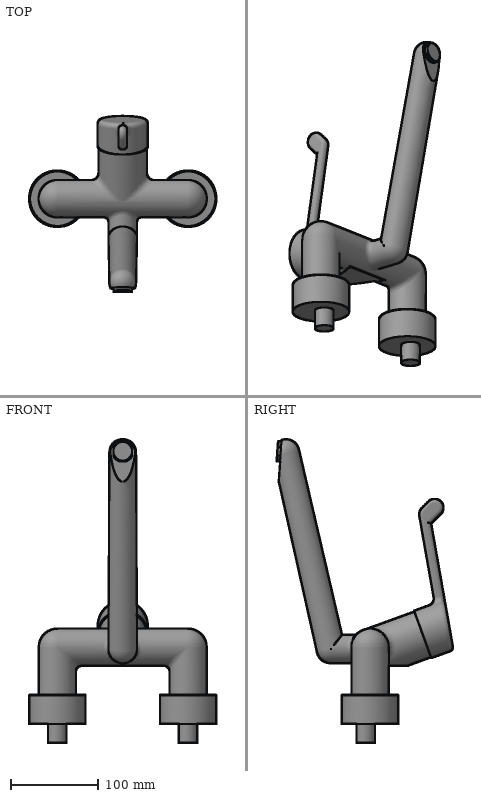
import cadquery as cq
import math


leg_spacing = 150.0
pipe_radius = 21.5
elbow_fillet = 6.0
flange_radius = 32.5
flange_height = 34.0
flange_top_z = -54.0
flange_chamfer = 1.2
inlet_radius = 10.75
inlet_length = 21.7
inlet_offset_y = -5.0

body_tilt = 20.0
body_axis_z = -7.3
body_radius = 28.0
body_fillet = 8.0
body_front_y = -5.0
seam_margin = 1.0
cap_radius = 29.0
cap_start = 64.3
cap_end = 96.6
cap_face_tilt = 10.0
cap_edge_fillet = 5.0

lever_depth = 12.2
lever_width = 10.0
lever_edge_round = 4.9
lever_tip = (0.0, 74.2, 160.1)
lever_tip_radius = 10.2
lever_head_lean = 45.0
lever_root_fillet = 8.0
lever_bend_radius = 10.0

spout_axis_z = -2.0
spout_base_radius = 16.5
spout_tip_radius = 15.5
spout_elbow_y = -45.0
spout_tip_y = -96.4
spout_tip_z = 223.25
spout_fillet = 5.0

outlet_face_y = -102.4
outlet_face_tilt = 4.0
outlet_radius = 11.75
outlet_height = 4.1
outlet_chamfer = 0.8
outlet_flat_width = 21.5
outlet_center_z = 224.5

clearance = 60.0
outlet_embed = 1.0


def cylinder(radius, start, direction, length):
    return cq.Workplane(cq.Solid.makeCylinder(radius, length, cq.Vector(*start), cq.Vector(*direction)))


def ball(radius, center):
    return cq.Workplane("XY").sphere(radius).translate(center)


def half_space(point, normal):
    """Block lying on the side of a plane that its normal points to; the normal has no X part."""
    plane = cq.Plane(origin=point, xDir=(1, 0, 0), normal=normal)
    size = 4 * clearance
    return cq.Workplane(plane).rect(size, size).extrude(size)


def yz_direction(angle):
    """Unit vector in the YZ plane, measured from +Y towards +Z."""
    return (0.0, math.cos(math.radians(angle)), math.sin(math.radians(angle)))


def along(point, direction, distance):
    """Point reached by moving a distance from a point."""
    return tuple(p + d * distance for p, d in zip(point, direction))


def crossing(point_a, direction_a, point_b, direction_b):
    """Point where two lines in the YZ plane meet."""
    gap_y = point_b[1] - point_a[1]
    gap_z = point_b[2] - point_a[2]
    determinant = direction_a[2] * direction_b[1] - direction_a[1] * direction_b[2]
    distance = (gap_z * direction_b[1] - gap_y * direction_b[2]) / determinant
    return along(point_a, direction_a, distance)


body_axis = yz_direction(body_tilt)
body_start = (0.0, 0.0, body_axis_z)
face_normal = yz_direction(cap_face_tilt)
face_center = along(body_start, body_axis, cap_end)
lever_axis = yz_direction(90.0 + cap_face_tilt)
lever_foot = along(face_center, face_normal, -lever_depth / 2)


def make_pipe():
    """Crossbar whose ends turn down into the two legs."""
    half = leg_spacing / 2
    pipe = cylinder(pipe_radius, (-half, 0, 0), (1, 0, 0), leg_spacing)
    for x in (-half, half):
        pipe = pipe.union(cylinder(pipe_radius, (x, 0, 0), (0, 0, -1), -flange_top_z))
    inner_seams = [e for e in pipe.edges().vals() if e.geomType() == "ELLIPSE"]
    pipe = pipe.newObject(inner_seams).fillet(elbow_fillet)
    for x in (-half, half):
        pipe = pipe.union(ball(pipe_radius, (x, 0, 0)))
    return pipe


def blend_seams(part, rear, radius):
    """Fillet the freeform seams near the middle of the crossbar, behind or in front of its axis."""
    y_range = (body_front_y - seam_margin, clearance) if rear else (-clearance, body_front_y)
    middle = cq.selectors.BoxSelector(
        (-body_radius, y_range[0], -clearance), (body_radius, y_range[1], clearance)
    )
    seams = [e for e in part.edges(middle).vals() if e.geomType() == "BSPLINE"]
    return part.newObject(seams).fillet(radius)


def add_body(pipe):
    """Tilted cartridge body blended into the crossbar, its underside level with the pipe."""
    tail = along(body_start, body_axis, -clearance)
    body = cylinder(body_radius, tail, body_axis, cap_start + clearance)
    body = body.cut(half_space((0, body_front_y, 0), (0, -1, 0)))
    blended = blend_seams(pipe.union(body), True, body_fillet)
    underside = cq.Workplane("XY").box(2 * body_radius, 2 * clearance, clearance)
    return blended.cut(underside.translate((0, 0, -pipe_radius - clearance / 2)))


def add_spout_stub(pipe):
    """Forward stub of the spout blended into the crossbar."""
    stub = cylinder(spout_base_radius, (0, 0, spout_axis_z), (0, -1, 0), -spout_elbow_y)
    return blend_seams(pipe.union(stub), False, spout_fillet)


def make_wall_connection(x):
    """Round flange under a leg with an eccentric inlet stub."""
    flange_bottom_z = flange_top_z - flange_height
    flange = cylinder(flange_radius, (x, 0, flange_bottom_z), (0, 0, 1), flange_height)
    flange = flange.faces(">Z").edges().chamfer(flange_chamfer)
    inlet = cylinder(inlet_radius, (x, inlet_offset_y, flange_bottom_z), (0, 0, -1), inlet_length)
    return flange.union(inlet)


def make_cap():
    """Cap on the cartridge body, ended by the sloping face with a rounded rim."""
    start = along(body_start, body_axis, cap_start)
    cap = cylinder(cap_radius, start, body_axis, clearance)
    cap = cap.cut(half_space(face_center, face_normal))
    rim = [e for e in cap.edges().vals() if e.geomType() == "ELLIPSE"]
    return cap.newObject(rim).fillet(cap_edge_fillet)


def make_lever():
    """Lever with a straight shaft and a wider rounded head bent to the rear."""
    front_edge = along(lever_foot, face_normal, -lever_depth / 2)
    rear_edge = along(lever_foot, face_normal, lever_depth / 2)
    head_axis = yz_direction(lever_head_lean)
    head_normal = yz_direction(lever_head_lean + 90.0)
    head_top = along(lever_tip, head_normal, lever_tip_radius)
    head_bottom = along(lever_tip, head_normal, -lever_tip_radius)
    tip_end = along(lever_tip, head_axis, lever_tip_radius)
    rear_bend = crossing(rear_edge, lever_axis, head_bottom, head_axis)
    front_bend = crossing(front_edge, lever_axis, head_top, head_axis)
    lever = (
        cq.Workplane("YZ", origin=(-lever_width / 2, 0, 0))
        .moveTo(*rear_edge[1:])
        .lineTo(*rear_bend[1:])
        .lineTo(*head_bottom[1:])
        .threePointArc(tip_end[1:], head_top[1:])
        .lineTo(*front_bend[1:])
        .lineTo(*front_edge[1:])
        .close()
        .extrude(lever_width)
    )
    lever = lever.edges(cq.selectors.NearestToPointSelector(front_bend)).fillet(lever_bend_radius)
    return lever.faces("<X or >X").edges().fillet(lever_edge_round)


def make_cap_with_lever():
    """Cap and lever joined by a fillet round the lever's root."""
    joined = make_cap().union(make_lever())
    root_y, root_z = along(face_center, lever_axis, cap_radius)[1:]
    root = cq.selectors.BoxSelector(
        (-lever_depth, root_y - 2 * lever_depth, root_z - lever_depth),
        (lever_depth, root_y + lever_depth, root_z + lever_depth),
    )
    seams = [e for e in joined.edges(root).vals() if e.geomType() in ("BSPLINE", "ELLIPSE")]
    return joined.newObject(seams).fillet(lever_root_fillet)


def make_spout():
    """Tapered round-ended spout from the elbow to the tip, trimmed by the flat outlet face."""
    elbow = cq.Vector(0, spout_elbow_y, spout_axis_z)
    rise = cq.Vector(0, spout_tip_y, spout_tip_z) - elbow
    length = rise.Length
    plane = cq.Plane(origin=elbow, xDir=(1, 0, 0), normal=cq.Vector(1, 0, 0).cross(rise))
    diagonal = math.sqrt(0.5)
    spout = (
        cq.Workplane(plane)
        .moveTo(0, -spout_base_radius)
        .threePointArc((spout_base_radius * diagonal, -spout_base_radius * diagonal), (spout_base_radius, 0))
        .lineTo(spout_tip_radius, length)
        .threePointArc(
            (spout_tip_radius * diagonal, length + spout_tip_radius * diagonal),
            (0, length + spout_tip_radius),
        )
        .close()
        .revolve(360, (0, 0, 0), (0, 1, 0))
    )
    face_dir = yz_direction(180.0 - outlet_face_tilt)
    face_point = (0, outlet_face_y, outlet_center_z)
    spout = spout.cut(half_space(face_point, face_dir))
    return spout.union(make_outlet(face_point, face_dir))


def make_outlet(face_point, face_dir):
    """Aerator disc standing on the spout's outlet face, with two side flats."""
    embedded_end = along(face_point, face_dir, -outlet_embed)
    disc = cylinder(outlet_radius, embedded_end, face_dir, outlet_height + outlet_embed)
    disc = disc.faces("<Y").edges().chamfer(outlet_chamfer)
    between_flats = cq.Workplane("XY").box(outlet_flat_width, clearance, clearance).translate(face_point)
    return disc.intersect(between_flats)


result = add_spout_stub(add_body(make_pipe()))
for leg_x in (-leg_spacing / 2, leg_spacing / 2):
    result = result.union(make_wall_connection(leg_x))
result = result.union(make_cap_with_lever()).union(make_spout())